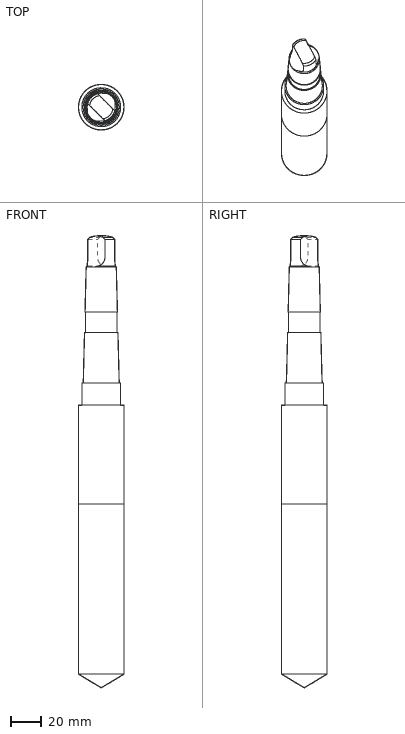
import cadquery as cq
import math

total_length = 301.0
body_diameter = 30.5
point_angle = 118.0
joint_height = 122.2

body_top = 188.0
collar_top = 203.0
recess_bottom = 236.3
recess_top = 250.0
taper_top = 280.0

collar_diameter = 26.0
recess_diameter = 21.0
taper_large_diameter = 24.0
taper_ratio = 19.9

tang_diameter = 18.7
tang_thickness = 9.3
tang_flat_bottom = 286.3
tang_runout_radius = 6.3
tang_shoulder_height = 1.0
tang_dome_height = 1.2
tang_rim_chamfer = 1.5
tang_direction = 45.0

body_radius = body_diameter / 2
tang_radius = tang_diameter / 2


def taper_radius(height):
    """Radius of the shank taper at a given height."""
    return (taper_large_diameter - (height - collar_top) / taper_ratio) / 2


def make_blank():
    """Cylindrical cutting blank with a conical point."""
    point_height = body_radius / math.tan(math.radians(point_angle / 2))
    return (
        cq.Workplane("XZ")
        .moveTo(0, 0)
        .lineTo(body_radius, point_height)
        .lineTo(body_radius, joint_height)
        .lineTo(0, joint_height)
        .close()
        .revolve(360, (0, 0), (0, 1))
    )


def make_turned_shank():
    """Round shank: body, collar, taper with a recess, and the tang before its flats are cut."""
    recess_radius = recess_diameter / 2
    collar_radius = collar_diameter / 2
    dome_base = total_length - tang_dome_height
    dome_rim_radius = tang_radius - tang_rim_chamfer
    dome_radius = (dome_rim_radius**2 + tang_dome_height**2) / (2 * tang_dome_height)
    dome_half_angle = math.asin(dome_rim_radius / dome_radius) / 2
    dome_mid = (
        dome_radius * math.sin(dome_half_angle),
        total_length - dome_radius * (1 - math.cos(dome_half_angle)),
    )
    profile = [
        (0, joint_height),
        (body_radius, joint_height),
        (body_radius, body_top),
        (collar_radius, body_top),
        (collar_radius, collar_top),
        (taper_radius(collar_top), collar_top),
        (taper_radius(recess_bottom), recess_bottom),
        (recess_radius, recess_bottom),
        (recess_radius, recess_top),
        (taper_radius(recess_top), recess_top),
        (taper_radius(taper_top), taper_top),
        (tang_radius, taper_top + tang_shoulder_height),
        (tang_radius, dome_base - tang_rim_chamfer),
        (dome_rim_radius, dome_base),
    ]
    return (
        cq.Workplane("XZ")
        .polyline(profile)
        .threePointArc(dome_mid, (0, total_length))
        .close()
        .revolve(360, (0, 0), (0, 1))
    )


def make_flat_cutter():
    """Cutter for one tang flat, with its concave run-out, facing +X."""
    flat_offset = tang_thickness / 2
    runout_x = flat_offset + tang_runout_radius
    runout_bottom = tang_flat_bottom - tang_runout_radius
    arc_reach = tang_runout_radius * math.sqrt(0.5)
    return (
        cq.Workplane("XZ")
        .moveTo(flat_offset, total_length)
        .lineTo(flat_offset, tang_flat_bottom)
        .threePointArc((runout_x - arc_reach, tang_flat_bottom - arc_reach), (runout_x, runout_bottom))
        .lineTo(runout_x, total_length)
        .close()
        .extrude(body_radius, both=True)
    )


def make_shank():
    """Shank with two opposite flats on its tang."""
    shank = make_turned_shank()
    for side in (0, 180):
        cutter = make_flat_cutter().rotate((0, 0, 0), (0, 0, 1), tang_direction + side)
        shank = shank.cut(cutter)
    return shank


blank = make_blank()
shank = make_shank()

result = cq.Compound.makeCompound([blank.val(), shank.val()])